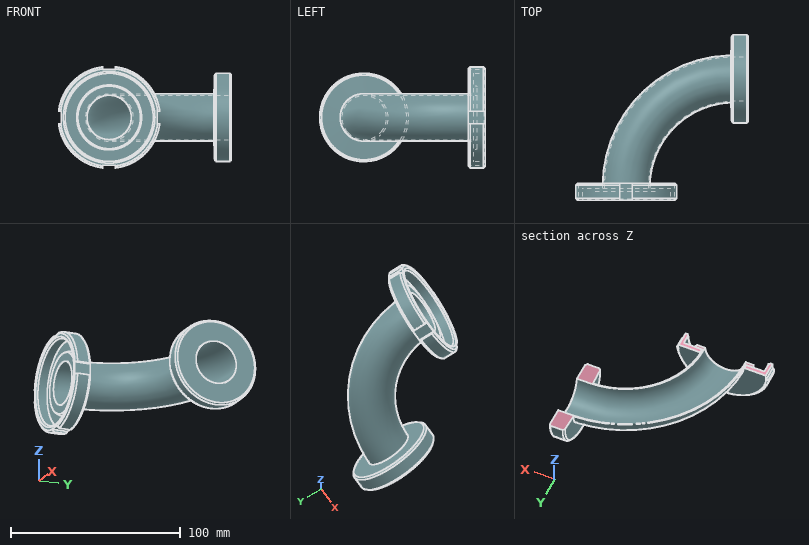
import cadquery as cq
pipe_diameter = 28.0
bore_diameter = 26.1
bend_radius = 63.4

nut_radius = 30.0
nut_thickness = 10.0
nut_chamfer = 1.2
recess_radius = 26.0
recess_depth = 7.0
recess_chamfer = 1.0
slot_width = 7.4
slot_floor_radius = 28.3
slot_count = 4

collar_base_radius = 19.1
collar_face_radius = 18.4
collar_height = 1.8

flange_radius = 26.1
flange_axis_y = 71.4
flange_back_x = 61.6
flange_end_x = 72.0
flange_chamfer = 1.1
flange_back_rise = 0.4

pipe_radius = pipe_diameter / 2
bore_radius = bore_diameter / 2
bend_start_y = flange_axis_y - bend_radius
bend_end_x = bend_radius
collar_face_y = recess_depth - collar_height


def along_y(radius, start_y, end_y):
    """Cylinder on the nut axis between two Y positions."""
    start_plane = cq.Plane(origin=(0, start_y, 0), xDir=(1, 0, 0), normal=(0, 1, 0))
    return cq.Workplane(start_plane).circle(radius).extrude(end_y - start_y)


def quarter_bend(radius):
    """Solid quarter torus turning from the nut axis (+Y) to the flange axis (+X)."""
    start_plane = cq.Plane(origin=(0, bend_start_y, 0), xDir=(1, 0, 0), normal=(0, 1, 0))
    return cq.Workplane(start_plane).circle(radius).revolve(
        90, (bend_radius, 0), (bend_radius, 1)
    )


def make_nut():
    """Slotted ring with a front recess and a hole that fits the pipe."""
    ring = along_y(nut_radius, 0, nut_thickness).edges().chamfer(nut_chamfer)
    recess = along_y(recess_radius, 0, recess_depth)
    ring = ring.cut(recess)
    ring = ring.faces("<Y").edges("%CIRCLE").edges(
        cq.selectors.RadiusNthSelector(0)
    ).chamfer(recess_chamfer)
    ring = ring.cut(along_y(pipe_radius, 0, bend_start_y)).cut(quarter_bend(pipe_radius))

    slot = cq.Workplane("XY").box(
        nut_radius, nut_thickness, slot_width, centered=(False, False, True)
    ).translate((slot_floor_radius, 0, 0))
    for index in range(slot_count):
        angle = index * 360 / slot_count
        ring = ring.cut(slot.rotate((0, 0, 0), (0, 1, 0), angle))
    return ring


def make_collar():
    """Tapered collar and the straight neck behind it, revolved about the nut axis."""
    return (
        cq.Workplane("XY")
        .moveTo(bore_radius, collar_face_y)
        .lineTo(collar_face_radius, collar_face_y)
        .lineTo(collar_base_radius, recess_depth)
        .lineTo(pipe_radius, recess_depth)
        .lineTo(pipe_radius, bend_start_y)
        .lineTo(bore_radius, bend_start_y)
        .close()
        .revolve(360, (0, 0), (0, 1))
    )


def make_flange():
    """Chamfered disc with a slightly conical back and an opening for the bend and its bore."""
    back_rim_x = flange_back_x + flange_back_rise
    face_radius = flange_radius - flange_chamfer
    disc = (
        cq.Workplane("XY", origin=(0, flange_axis_y, 0))
        .moveTo(flange_back_x, 0)
        .lineTo(flange_back_x, pipe_radius)
        .lineTo(back_rim_x, face_radius)
        .lineTo(back_rim_x + flange_chamfer, flange_radius)
        .lineTo(flange_end_x - flange_chamfer, flange_radius)
        .lineTo(flange_end_x, face_radius)
        .lineTo(flange_end_x, 0)
        .close()
        .revolve(360, (0, 0), (1, 0))
    )
    bore = (
        cq.Workplane("YZ", origin=(bend_end_x, flange_axis_y, 0))
        .circle(bore_radius)
        .extrude(flange_end_x - bend_end_x)
    )
    return disc.cut(quarter_bend(pipe_radius)).cut(bore)


def make_elbow():
    """Collar, bend and flange in one piece, with a bore running right through."""
    bend = quarter_bend(pipe_radius).cut(quarter_bend(bore_radius))
    return make_collar().union(bend).union(make_flange())


nut = make_nut()
elbow = make_elbow()

result = cq.Compound.makeCompound([nut.val(), elbow.val()])